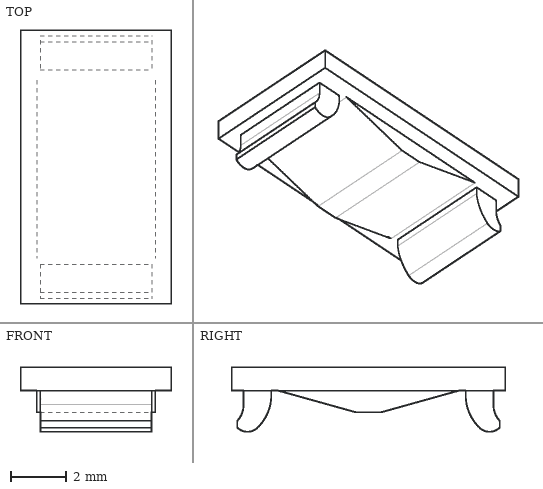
import cadquery as cq

plate_width = 5.45
plate_length = 9.9
plate_thickness = 0.85

hook_width = 4.03
total_height = 2.35
hook_inner_y = 3.51
hook_outer_y = 4.52
hook_tip_y = 4.75
inner_curve_start_z = -1.14
outer_curve_start_z = -1.34
tip_top_z = -1.95
tip_bottom_z = -2.19
outer_curve_middle = (4.58, -1.68)
inner_curve_middle = (3.72, -1.82)
inner_curve_end = (4.06, -2.24)
hook_lowest_y = 4.36

rib_width = 4.3
rib_depth = 0.79
rib_base_length = 6.57
rib_flat_length = 0.89


def extrude_across(profile, width):
    """Extrude a YZ profile symmetrically about X = 0."""
    return profile.extrude(width / 2, both=True)


def make_hook():
    """Hook at the +Y end, curving outwards towards its tip."""
    root_z = -plate_thickness / 2
    profile = (
        cq.Workplane("YZ")
        .moveTo(hook_inner_y, root_z)
        .lineTo(hook_outer_y, root_z)
        .lineTo(hook_outer_y, outer_curve_start_z)
        .threePointArc(outer_curve_middle, (hook_tip_y, tip_top_z))
        .lineTo(hook_tip_y, tip_bottom_z)
        .threePointArc((hook_lowest_y, -total_height), inner_curve_end)
        .threePointArc(inner_curve_middle, (hook_inner_y, inner_curve_start_z))
        .close()
    )
    return extrude_across(profile, hook_width)


def make_rib():
    """Shallow trapezoidal rib below the middle of the plate."""
    rib_bottom_z = -plate_thickness - rib_depth
    profile = cq.Workplane("YZ").polyline([
        (-rib_base_length / 2, -plate_thickness),
        (rib_base_length / 2, -plate_thickness),
        (rib_flat_length / 2, rib_bottom_z),
        (-rib_flat_length / 2, rib_bottom_z),
    ]).close()
    return extrude_across(profile, rib_width)


plate = cq.Workplane("XY").rect(plate_width, plate_length).extrude(-plate_thickness)
hook = make_hook()
result = plate.union(make_rib()).union(hook).union(hook.mirror("XZ"))